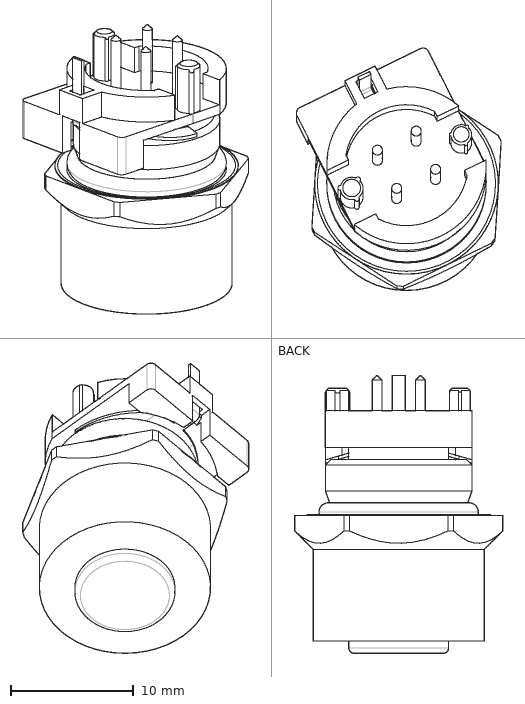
import cadquery as cq
import math

NOSE_STEP_Z = 1.0
SLEEVE_TOP_Z = 8.5
NUT_TOP_Z = 11.25
SEAL_MID_Z = 11.53
GROOVE_TOP_Z = 12.3
COLLAR_BASE_Z = 13.25
COLLAR_TOP_Z = 15.82
BLOCK_BOTTOM_Z = 14.37
PLATE_BOTTOM_Z = 16.8
PLATE_TOP_Z = 17.64
RIM_TOP_Z = 19.82
POST_TOP_Z = 21.65
PIN_TOP_Z = 22.7

INSERT_RADIUS = 4.09
NOSE_FILLET = 0.45
SLEEVE_RADIUS = 7.0
COLLAR_RADIUS = 6.0
COLLAR_CHAMFER = 0.45
GROOVE_RADIUS = 5.65
SEAL_MINOR_RADIUS = 0.77
SEAL_MAJOR_RADIUS = 5.75

NUT_APOTHEM = 7.5
NUT_CORNER_DIAMETER = 17.0
NUT_CORNER_RADIUS = NUT_CORNER_DIAMETER / 2
NUT_LIP_HEIGHT = 0.07
RECESS_TOP_RADIUS = 7.26
RECESS_FLOOR_RADIUS = 6.51
RECESS_DEPTH = 0.35

RIM_RADIUS = 6.51
RIM_BORE_RADIUS = 5.02
RIM_BORE_HALF_WIDTH = 4.05
GAP_HALF_WIDTH = 2.5
CARRIER_HALF_WIDTH = 6.0
CARRIER_FRONT_Y = -8.51
BLOCK_BACK_Y = -6.02
BLOCK_FILLET = 0.5
BLOCK_POCKET_RADIUS = 7.58
SLOT_WIDTH = 2.05
SLOT_BEVEL = 0.5
ARM_WIDTH = 2.75
ARM_HOLE_WIDTH = 1.23
ARM_HOLE_BACK_Y = -6.5
ARM_HOLE_FRONT_Y = -8.05

PIN_RADIUS = 0.4
PIN_TIP_HEIGHT = 0.39
PIN_OFFSET = 1.77
POST_OFFSET = 5.0
POST_CHAMFER = 0.2
LEFT_POST_RADIUS = 0.85
LEFT_RIB_RADIUS = 0.14
RIGHT_POST_RADIUS = 0.93
RIGHT_RIB_RADIUS = 0.2
POST_RIB_ANGLES = (90, 210, 330)

SHEET = 0.27
STRIP_WIDTH = 1.07
STRIP_FRONT_Y = -7.83
STRIP_BOTTOM_Z = 16.62
STRIP_BACK_Y = -5.0
STRIP_BEND_RADIUS = 0.5
SPRING_TIP_Z = 15.53
SPRING_BORE_RADIUS = 4.9
SPRING_FLAT_HALF_WIDTH = 2.22


def disc(radius, bottom, top, x=0, y=0):
    return cq.Workplane("XY", origin=(x, y, bottom)).circle(radius).extrude(top - bottom)


def block(x_min, x_max, y_min, y_max, z_min, z_max):
    size = (x_max - x_min, y_max - y_min, z_max - z_min)
    return cq.Workplane("XY", origin=(x_min, y_min, z_min)).box(*size, centered=False)


def centered_block(width, y_min, y_max, z_min, z_max):
    return block(-width / 2, width / 2, y_min, y_max, z_min, z_max)


def revolve_profile(points):
    """Revolve a closed (radius, z) outline about the Z axis."""
    return cq.Workplane("XZ").polyline(points).close().revolve(360, (0, 0), (0, 1))


def make_insert():
    nose = disc(INSERT_RADIUS, 0, PLATE_TOP_Z)
    return nose.faces("<Z").edges().fillet(NOSE_FILLET)


def make_collar():
    return revolve_profile([
        (0, SLEEVE_TOP_Z),
        (GROOVE_RADIUS, SLEEVE_TOP_Z),
        (GROOVE_RADIUS, GROOVE_TOP_Z),
        (COLLAR_RADIUS, COLLAR_BASE_Z),
        (COLLAR_RADIUS, COLLAR_TOP_Z - COLLAR_CHAMFER),
        (COLLAR_RADIUS - COLLAR_CHAMFER, COLLAR_TOP_Z),
        (0, COLLAR_TOP_Z),
    ])


def make_seal():
    section = cq.Workplane("XZ").center(SEAL_MAJOR_RADIUS, SEAL_MID_Z).circle(SEAL_MINOR_RADIUS)
    return section.revolve(360, (-SEAL_MAJOR_RADIUS, 0), (-SEAL_MAJOR_RADIUS, 1))


def make_nut():
    sharp_diameter = 2 * NUT_APOTHEM / math.cos(math.radians(30))
    nut = cq.Workplane("XY", origin=(0, 0, SLEEVE_TOP_Z)).polygon(6, sharp_diameter)
    nut = nut.extrude(NUT_TOP_Z - SLEEVE_TOP_Z)
    envelope = revolve_profile([
        (0, SLEEVE_TOP_Z),
        (SLEEVE_RADIUS, SLEEVE_TOP_Z),
        (NUT_CORNER_RADIUS, SLEEVE_TOP_Z + NUT_CORNER_RADIUS - SLEEVE_RADIUS),
        (NUT_CORNER_RADIUS, NUT_TOP_Z),
        (0, NUT_TOP_Z),
    ])
    lip_top = NUT_TOP_Z + NUT_LIP_HEIGHT
    recess_floor = lip_top - RECESS_DEPTH
    recess = revolve_profile([
        (0, recess_floor),
        (RECESS_FLOOR_RADIUS, recess_floor),
        (RECESS_TOP_RADIUS, lip_top),
        (0, lip_top),
    ])
    lip = disc(NUT_APOTHEM, NUT_TOP_Z, lip_top)
    return nut.intersect(envelope).union(lip).cut(recess)


def make_slot():
    """Cutter for the front slot; its back end is bevelled where it meets the plate underside."""
    back_y = -BLOCK_POCKET_RADIUS
    outline = cq.Workplane("YZ", origin=(-SLOT_WIDTH / 2, 0, 0)).polyline([
        (CARRIER_FRONT_Y, BLOCK_BOTTOM_Z),
        (back_y + SLOT_BEVEL, BLOCK_BOTTOM_Z),
        (back_y + SLOT_BEVEL, PLATE_BOTTOM_Z),
        (back_y, PLATE_BOTTOM_Z + SLOT_BEVEL),
        (back_y, PLATE_TOP_Z),
        (CARRIER_FRONT_Y, PLATE_TOP_Z),
    ]).close()
    return outline.extrude(SLOT_WIDTH)


def make_carrier():
    x = CARRIER_HALF_WIDTH
    plate = disc(RIM_RADIUS, PLATE_BOTTOM_Z, PLATE_TOP_Z)
    plate = plate.union(block(-x, x, CARRIER_FRONT_Y, 0, PLATE_BOTTOM_Z, PLATE_TOP_Z))
    plate = plate.union(block(-x, x, CARRIER_FRONT_Y, BLOCK_BACK_Y, BLOCK_BOTTOM_Z, PLATE_TOP_Z))
    plate = plate.edges("|Z and <Y").fillet(BLOCK_FILLET)
    plate = plate.cut(disc(BLOCK_POCKET_RADIUS, BLOCK_BOTTOM_Z, PLATE_BOTTOM_Z))
    plate = plate.cut(make_slot())
    arm_hole = centered_block(ARM_HOLE_WIDTH, ARM_HOLE_FRONT_Y, ARM_HOLE_BACK_Y, PLATE_BOTTOM_Z, RIM_TOP_Z)

    rim = disc(RIM_RADIUS, PLATE_TOP_Z, RIM_TOP_Z)
    rim = rim.union(centered_block(ARM_WIDTH, CARRIER_FRONT_Y, -RIM_BORE_RADIUS, PLATE_TOP_Z, RIM_TOP_Z))
    bore = disc(RIM_BORE_RADIUS, PLATE_TOP_Z, RIM_TOP_Z).intersect(
        centered_block(2 * RIM_BORE_HALF_WIDTH, -RIM_RADIUS, RIM_RADIUS, PLATE_TOP_Z, RIM_TOP_Z)
    )
    side_gaps = centered_block(2 * RIM_RADIUS, -GAP_HALF_WIDTH, GAP_HALF_WIDTH, PLATE_TOP_Z, RIM_TOP_Z)
    rim = rim.cut(bore).cut(side_gaps)

    width_limit = block(-x, x, CARRIER_FRONT_Y, RIM_RADIUS, BLOCK_BOTTOM_Z, RIM_TOP_Z)
    return plate.union(rim).cut(arm_hole).intersect(width_limit)


def make_pin(x, y):
    cone_base = PIN_TOP_Z - PIN_TIP_HEIGHT
    pin = revolve_profile([
        (0, PLATE_BOTTOM_Z),
        (PIN_RADIUS, PLATE_BOTTOM_Z),
        (PIN_RADIUS, cone_base),
        (0, PIN_TOP_Z),
    ])
    return pin.translate((x, y, 0))


def make_post(x, radius, rib_radius):
    """Locating post with three crush ribs centred on its surface and a 45 degree lead-in."""
    post = disc(radius, PLATE_BOTTOM_Z, POST_TOP_Z)
    for angle in POST_RIB_ANGLES:
        rib_x = radius * math.cos(math.radians(angle))
        rib_y = radius * math.sin(math.radians(angle))
        post = post.union(disc(rib_radius, PLATE_BOTTOM_Z, POST_TOP_Z, rib_x, rib_y))
    reach = radius + rib_radius
    top_radius = radius - POST_CHAMFER
    lead_in = revolve_profile([
        (0, PLATE_BOTTOM_Z),
        (reach, PLATE_BOTTOM_Z),
        (reach, POST_TOP_Z - (reach - top_radius)),
        (top_radius, POST_TOP_Z),
        (0, POST_TOP_Z),
    ])
    return post.intersect(lead_in).translate((x, 0, 0))


def make_spring():
    """Half washer with a flat middle under the plate and a wing sloping down on each side."""
    outer, flat = COLLAR_RADIUS, SPRING_FLAT_HALF_WIDTH
    sheet = cq.Workplane("XZ").polyline([
        (-outer, SPRING_TIP_Z),
        (-flat, STRIP_BOTTOM_Z),
        (flat, STRIP_BOTTOM_Z),
        (outer, SPRING_TIP_Z),
        (outer, SPRING_TIP_Z + SHEET),
        (flat, STRIP_BOTTOM_Z + SHEET),
        (-flat, STRIP_BOTTOM_Z + SHEET),
        (-outer, SPRING_TIP_Z + SHEET),
    ]).close().extrude(outer)
    washer = disc(outer, SPRING_TIP_Z, PLATE_TOP_Z).cut(disc(SPRING_BORE_RADIUS, SPRING_TIP_Z, PLATE_TOP_Z))
    return sheet.intersect(washer)


def make_strip():
    """Solder tail: an upright strip bent back under the plate."""
    strip = (
        cq.Workplane("YZ", origin=(-STRIP_WIDTH / 2, 0, 0))
        .moveTo(STRIP_BACK_Y, STRIP_BOTTOM_Z)
        .lineTo(STRIP_FRONT_Y + STRIP_BEND_RADIUS, STRIP_BOTTOM_Z)
        .radiusArc((STRIP_FRONT_Y, STRIP_BOTTOM_Z + STRIP_BEND_RADIUS), STRIP_BEND_RADIUS)
        .lineTo(STRIP_FRONT_Y, PIN_TOP_Z)
        .lineTo(STRIP_FRONT_Y + SHEET, PIN_TOP_Z)
        .lineTo(STRIP_FRONT_Y + SHEET, STRIP_BOTTOM_Z + STRIP_BEND_RADIUS)
        .radiusArc((STRIP_FRONT_Y + STRIP_BEND_RADIUS, STRIP_BOTTOM_Z + SHEET), SHEET - STRIP_BEND_RADIUS)
        .lineTo(STRIP_BACK_Y, STRIP_BOTTOM_Z + SHEET)
        .close()
    )
    return strip.extrude(STRIP_WIDTH)


result = disc(SLEEVE_RADIUS, NOSE_STEP_Z, SLEEVE_TOP_Z)
result = result.union(make_insert()).union(make_nut()).union(make_collar()).union(make_seal())
result = result.union(make_carrier()).union(make_spring()).union(make_strip())

for pin_x in (-PIN_OFFSET, PIN_OFFSET):
    for pin_y in (-PIN_OFFSET, PIN_OFFSET):
        result = result.union(make_pin(pin_x, pin_y))

result = result.union(make_post(-POST_OFFSET, LEFT_POST_RADIUS, LEFT_RIB_RADIUS))
result = result.union(make_post(POST_OFFSET, RIGHT_POST_RADIUS, RIGHT_RIB_RADIUS))